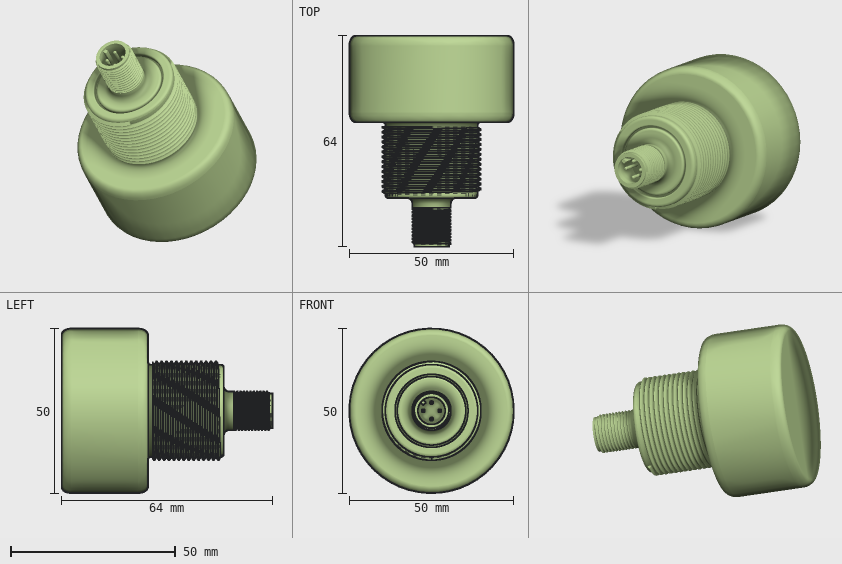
import cadquery as cq
import math


head_radius = 25.0
head_length = 26.25
head_edge_axial = 3.0
head_edge_radial = 2.0

barrel_thread_radius = 15.0
barrel_pitch = 1.5
barrel_length = 23.0
barrel_base_fillet = 0.8
barrel_tip_fillet = 1.0
barrel_thread_offset = 1.1
barrel_relief_length = 1.35
barrel_thread_turns = 13.5

recess_radius = 11.1
recess_depth = 1.5
recess_rim_fillet = 0.4

flange_radius = 10.4
flange_fillet = 0.75
shank_thread_radius = 5.9
shank_pitch = 1.0
shank_core_radius = 5.45
tail_radius = 5.3
tail_length = 1.0
shank_length = 14.8
shank_base_fillet = 1.5
collar_length = 3.0
shank_thread_offset = 3.05
shank_thread_turns = 10.75

socket_radius = 4.15
socket_depth = 9.0
pin_count = 4
pin_circle_radius = 2.5
pin_radius = 0.5
pin_tip_chamfer = 0.25
pin_tip_setback = 1.75
key_width = 1.1
key_inner_radius = 2.95
key_angle = 135.0
key_setback = 0.75
key_wall_overlap = 0.2

thread_depth_ratio = 0.65
thread_crest_ratio = 1 / 8
thread_half_angle = math.radians(30)
thread_overlap = 0.1

head_front_y = -head_length
barrel_end_y = head_front_y - barrel_length
tip_y = barrel_end_y - shank_length
recess_floor_y = barrel_end_y + recess_depth
socket_floor_y = tip_y + socket_depth
barrel_root_radius = barrel_thread_radius - thread_depth_ratio * barrel_pitch


def revolve_about_y(profile):
    return profile.close().revolve(360, (0, 0, 0), (0, 1, 0))


def rod_along_y(radius, start_y, end_y):
    """Cylinder on the Y axis, from start_y toward -Y down to end_y."""
    return cq.Workplane("XZ", origin=(0, start_y, 0)).circle(radius).extrude(start_y - end_y)


def thread_ridge(crest_radius, pitch, turns, start_y):
    """Right-hand helical ridge that starts on the +Z side and advances toward -Y."""
    base_radius = crest_radius - thread_depth_ratio * pitch - thread_overlap
    crest_half = thread_crest_ratio * pitch / 2
    base_half = crest_half + (crest_radius - base_radius) * math.tan(thread_half_angle)
    helix = cq.Wire.makeHelix(pitch, pitch * turns, base_radius)
    section = cq.Workplane("XZ").polyline([
        (base_radius, -base_half),
        (crest_radius, -crest_half),
        (crest_radius, crest_half),
        (base_radius, base_half),
    ]).close()
    ridge = section.sweep(cq.Workplane(helix), isFrenet=True)
    ridge = ridge.rotate((0, 0, 0), (0, 0, 1), 90)
    ridge = ridge.rotate((0, 0, 0), (1, 0, 0), 90)
    return ridge.translate((0, start_y, 0))


def make_housing():
    """Drum with elliptical edges and a threaded barrel whose ridge is cut flat near the drum."""
    face_radius = head_radius - head_edge_radial
    profile = (
        cq.Workplane("XY")
        .lineTo(face_radius, 0)
        .ellipseArc(head_edge_radial, head_edge_axial, 0, 90, sense=-1)
        .lineTo(head_radius, head_front_y + head_edge_axial)
        .ellipseArc(head_edge_radial, head_edge_axial, 270, 360, sense=-1)
        .lineTo(barrel_root_radius + barrel_base_fillet, head_front_y)
        .tangentArcPoint((barrel_root_radius, head_front_y - barrel_base_fillet), relative=False)
        .lineTo(barrel_root_radius, barrel_end_y + barrel_tip_fillet)
        .tangentArcPoint((barrel_root_radius - barrel_tip_fillet, barrel_end_y), relative=False)
        .lineTo(recess_radius + recess_rim_fillet, barrel_end_y)
        .tangentArcPoint((recess_radius, barrel_end_y + recess_rim_fillet), relative=False)
        .lineTo(recess_radius, recess_floor_y)
        .lineTo(0, recess_floor_y)
    )
    ridge = thread_ridge(
        barrel_thread_radius, barrel_pitch, barrel_thread_turns, head_front_y - barrel_thread_offset
    )
    ridge = ridge.cut(rod_along_y(head_radius, 0, head_front_y - barrel_relief_length))
    return revolve_about_y(profile).union(ridge)


def make_shank():
    """Flange, collar, threaded shank and tail, still solid."""
    collar_end_y = barrel_end_y - collar_length
    profile = (
        cq.Workplane("XY")
        .moveTo(0, recess_floor_y)
        .lineTo(flange_radius, recess_floor_y)
        .lineTo(flange_radius, barrel_end_y + flange_fillet)
        .tangentArcPoint((flange_radius - flange_fillet, barrel_end_y), relative=False)
        .lineTo(shank_thread_radius + shank_base_fillet, barrel_end_y)
        .tangentArcPoint((shank_thread_radius, barrel_end_y - shank_base_fillet), relative=False)
        .lineTo(shank_thread_radius, collar_end_y)
        .lineTo(0, collar_end_y)
    )
    flange_and_collar = revolve_about_y(profile)
    core = rod_along_y(shank_core_radius, barrel_end_y - shank_base_fillet, tip_y + tail_length)
    tail = rod_along_y(tail_radius, tip_y + tail_length, tip_y)
    ridge = thread_ridge(
        shank_thread_radius, shank_pitch, shank_thread_turns, barrel_end_y - shank_thread_offset
    )
    return core.union(ridge).union(flange_and_collar).union(tail)


def make_pins():
    pin_tip_y = tip_y + pin_tip_setback
    pin = rod_along_y(pin_radius, socket_floor_y, pin_tip_y).faces("<Y").chamfer(pin_tip_chamfer)
    pin = pin.translate((pin_circle_radius, 0, 0))
    pins = []
    for index in range(pin_count):
        pins.append(pin.rotate((0, 0, 0), (0, 1, 0), index * 360 / pin_count))
    return pins


def make_key():
    """Square rib on the socket wall that rises from the floor and stops short of the mouth."""
    key_length = key_width + key_wall_overlap
    return (
        cq.Workplane("XZ", origin=(0, socket_floor_y, 0))
        .transformed(rotate=(0, 0, key_angle))
        .center(key_inner_radius + key_length / 2, 0)
        .rect(key_length, key_width)
        .extrude(socket_depth - key_setback)
    )


def make_connector():
    connector = make_shank().cut(rod_along_y(socket_radius, socket_floor_y, tip_y))
    connector = connector.union(make_key())
    for pin in make_pins():
        connector = connector.union(pin)
    return connector


housing = make_housing()
connector = make_connector()
result = cq.Compound.makeCompound([housing.val(), connector.val()])